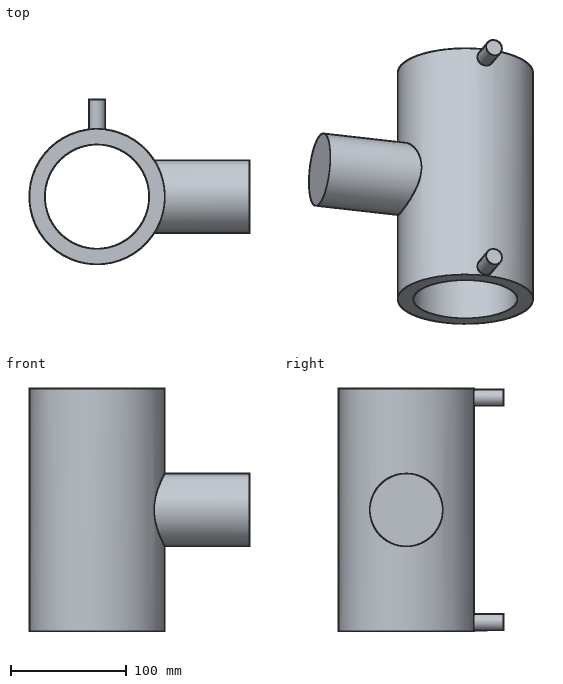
import cadquery as cq

tube_height = 210.0
tube_radius = 58.5
bore_radius = 45.0

branch_radius = 31.5
branch_reach = 131.9

pin_radius = 7.1
pin_reach = 84.0
pin_inset = 8.0


def radial_rod(direction, height, radius, reach):
    """Solid rod running outward from the tube axis at the given height."""
    start = cq.Vector(0, 0, height)
    return cq.Workplane(cq.Solid.makeCylinder(radius, reach, start, cq.Vector(*direction)))


body = cq.Workplane("XY").circle(tube_radius).extrude(tube_height)
body = body.union(radial_rod((1, 0, 0), tube_height / 2, branch_radius, branch_reach))
for pin_height in (pin_inset, tube_height - pin_inset):
    body = body.union(radial_rod((0, 1, 0), pin_height, pin_radius, pin_reach))

bore = cq.Workplane("XY").circle(bore_radius).extrude(tube_height)
result = body.cut(bore)